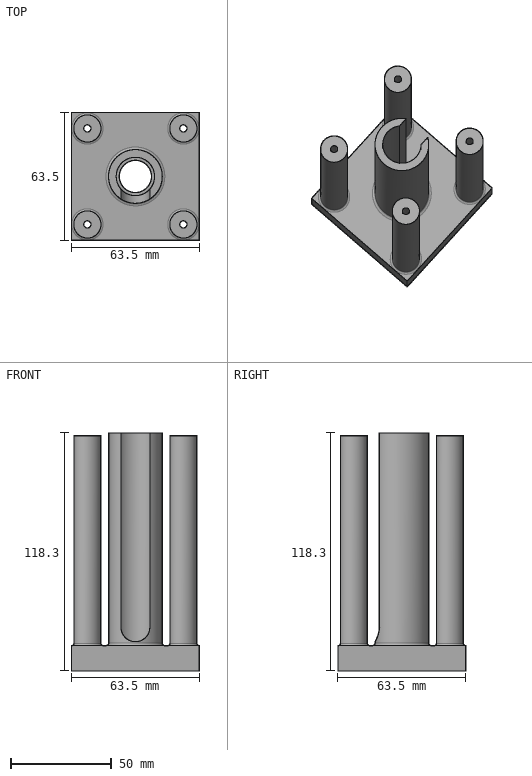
import cadquery as cq

PLATE_SIDE = 63.5
PLATE_THICKNESS = 12.7

TUBE_TOP = 118.27
TUBE_DIAMETER = 26.67
TUBE_FILLET = 1.27
BORE_DIAMETER = 19.05
BORE_FLOOR = PLATE_THICKNESS
THROUGH_HOLE_DIAMETER = 15.88

SLOT_WIDTH = 14.29
SLOT_CLEARANCE = 1.9
SLOT_BOTTOM = PLATE_THICKNESS + SLOT_CLEARANCE

POST_TOP = 116.84
POST_DIAMETER = 13.49
POST_FILLET = 1.016
POST_SPACING = 47.63
POST_HOLE_DIAMETER = 3.45


def cylinder(diameter, bottom, top):
    """Upright cylinder on the Z axis between two heights."""
    return cq.Workplane("XY").workplane(offset=bottom).circle(diameter / 2).extrude(top - bottom)


def filleted_column(diameter, top, fillet):
    """Column standing on the plate, flared by a concave fillet at its foot."""
    radius = diameter / 2
    foot_radius = radius + fillet
    fillet_top = PLATE_THICKNESS + fillet
    profile = (
        cq.Workplane("XZ")
        .moveTo(0, 0)
        .lineTo(foot_radius, 0)
        .lineTo(foot_radius, PLATE_THICKNESS)
        .radiusArc((radius, fillet_top), fillet)
        .lineTo(radius, top)
        .lineTo(0, top)
        .close()
    )
    return profile.revolve(360, (0, 0, 0), (0, 1, 0))


def slot_cutter():
    """Slot from its round lower end up through the tube top, reaching from the axis to -Y."""
    radius = SLOT_WIDTH / 2
    arc_center = SLOT_BOTTOM + radius
    outline = (
        cq.Workplane("XZ")
        .moveTo(-radius, TUBE_TOP)
        .lineTo(-radius, arc_center)
        .threePointArc((0, SLOT_BOTTOM), (radius, arc_center))
        .lineTo(radius, TUBE_TOP)
        .close()
    )
    return outline.extrude(TUBE_DIAMETER / 2 + TUBE_FILLET)


def post_positions():
    """Centres of the four corner posts."""
    offset = POST_SPACING / 2
    return [(x, y) for x in (-offset, offset) for y in (-offset, offset)]


def slotted_tube():
    """Central tube, still solid inside, with the slot cut in its -Y side."""
    return filleted_column(TUBE_DIAMETER, TUBE_TOP, TUBE_FILLET).cut(slot_cutter())


def stepped_bore():
    """Tube bore down to the plate, continued by a smaller hole through the plate."""
    bore = cylinder(BORE_DIAMETER, BORE_FLOOR, TUBE_TOP)
    return bore.union(cylinder(THROUGH_HOLE_DIAMETER, 0, BORE_FLOOR))


plate = cq.Workplane("XY").rect(PLATE_SIDE, PLATE_SIDE).extrude(PLATE_THICKNESS)
body = plate.union(slotted_tube()).cut(stepped_bore())

post = filleted_column(POST_DIAMETER, POST_TOP, POST_FILLET)
post_hole = cylinder(POST_HOLE_DIAMETER, 0, POST_TOP)
for x, y in post_positions():
    body = body.union(post.translate((x, y, 0)))
    body = body.cut(post_hole.translate((x, y, 0)))

result = body